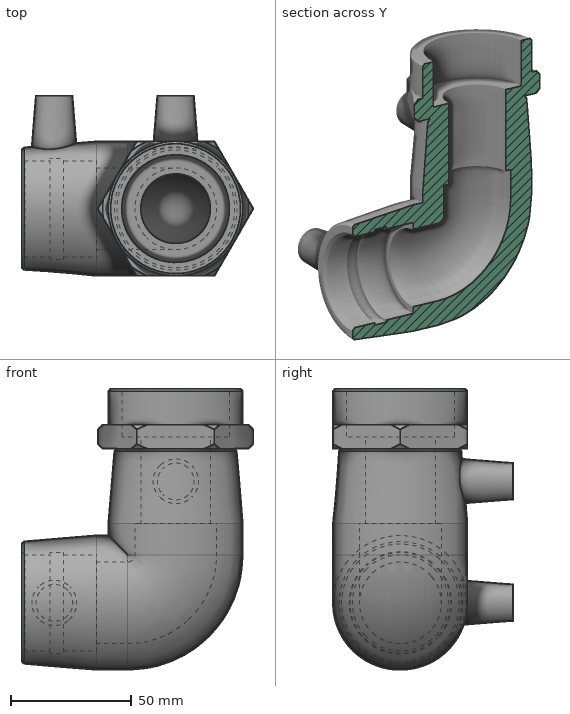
import cadquery as cq
import math

pipe_r = 28.0
bend_r = 20.0
bend_centre = (-bend_r, 0, bend_r)
taper_start = 33.0
arm_length = 64.0
arm_end_r = 25.5
edge_chamfer = 1.0
bore_r = 17.0

socket_r = 20.0
socket_mouth_r = 21.3
socket_mouth_depth = 1.3
groove_r = 21.0
groove_near = 52.3
groove_far = 46.7

hex_flats = 2 * pipe_r
hex_height = 10.0
hex_chamfer = 2.0
collar_height = 15.0
insert_top = arm_length + hex_height + collar_height
counterbore_r = 44.84 / 2
counterbore_depth = 20.0
insert_bore_r = 29.0 / 2

terminal_offset = 50.5
terminal_tip_y = 47.0
terminal_root_y = 22.0
terminal_tip_r = 7.65
terminal_root_r = 9.65


def revolved_on_z(profile):
    """Solid of revolution about Z from (radius, height) points."""
    return cq.Workplane("XZ").polyline(profile).close().revolve(360, (0, 0), (0, 1))


def laid_along_minus_x(solid):
    """Turn a solid built up the Z axis so that it points along -X."""
    return solid.rotate((0, 0, 0), (0, 1, 0), -90)


def cylinder_on_z(radius, bottom, top):
    return cq.Workplane("XY").workplane(offset=bottom).circle(radius).extrude(top - bottom)


def make_arm():
    """Straight stretch, taper and chamfered end, standing on the Z axis."""
    return revolved_on_z([
        (0, bend_r),
        (pipe_r, bend_r),
        (pipe_r, taper_start),
        (arm_end_r, arm_length - edge_chamfer),
        (arm_end_r - edge_chamfer, arm_length),
        (0, arm_length),
    ])


def turned_a_quarter(section):
    """Sweep a section a quarter turn about the bend centre, joining the two arms."""
    return section.revolve(90, (0, 0), (0, 1))


def make_outer_bend():
    """Outer elbow; its round section is wider than the bend and stops at the turning axis."""
    half_chord = math.sqrt(pipe_r**2 - bend_r**2)
    section = (
        cq.Workplane("XY", origin=bend_centre)
        .moveTo(0, -half_chord)
        .threePointArc((bend_r + pipe_r, 0), (0, half_chord))
        .close()
    )
    return turned_a_quarter(section)


def make_bend_bore():
    section = cq.Workplane("XY", origin=bend_centre).moveTo(bend_r, 0).circle(bore_r)
    return turned_a_quarter(section)


def make_insert():
    """Hexagon with corners on the X axis and both rims chamfered, carrying a round collar."""
    hex_top = arm_length + hex_height
    hexagon = (
        cq.Workplane("XY")
        .workplane(offset=arm_length)
        .polygon(6, hex_flats, circumscribed=True)
        .extrude(hex_height)
        .rotate((0, 0, 0), (0, 0, 1), 30)
    )
    corner_r = hex_flats / math.sqrt(3)
    rim_r = corner_r - hex_chamfer
    chamfer_envelope = revolved_on_z([
        (0, arm_length),
        (rim_r, arm_length),
        (corner_r, arm_length + hex_chamfer),
        (corner_r, hex_top - hex_chamfer),
        (rim_r, hex_top),
        (0, hex_top),
    ])
    collar = cylinder_on_z(pipe_r, hex_top, insert_top).faces(">Z").chamfer(edge_chamfer)
    return hexagon.intersect(chamfer_envelope).union(collar)


def make_terminal():
    """Cone tapering toward +Y, centred on the Y axis."""
    return (
        cq.Workplane("XY")
        .moveTo(0, terminal_root_y)
        .lineTo(terminal_root_r, terminal_root_y)
        .lineTo(terminal_tip_r, terminal_tip_y)
        .lineTo(0, terminal_tip_y)
        .close()
        .revolve(360, (0, 0), (0, 1))
    )


def make_socket_bore():
    """Socket with lead-in and inner groove, ending in the plain bore."""
    return laid_along_minus_x(revolved_on_z([
        (0, bend_r),
        (bore_r, bend_r),
        (bore_r, taper_start),
        (socket_r, taper_start),
        (socket_r, groove_far),
        (groove_r, groove_far),
        (groove_r, groove_near),
        (socket_r, groove_near),
        (socket_r, arm_length - socket_mouth_depth),
        (socket_mouth_r, arm_length),
        (0, arm_length),
    ]))


def make_insert_bore():
    """Counterbore, narrow insert bore and plain bore, from the top down."""
    return revolved_on_z([
        (0, bend_r),
        (bore_r, bend_r),
        (bore_r, taper_start),
        (insert_bore_r, taper_start),
        (insert_bore_r, insert_top - counterbore_depth),
        (counterbore_r, insert_top - counterbore_depth),
        (counterbore_r, insert_top),
        (0, insert_top),
    ])


upright_arm = make_arm().rotate((0, 0, 0), (0, 0, 1), 180)
body = upright_arm.union(laid_along_minus_x(make_arm()))
body = body.union(make_outer_bend()).union(make_insert())
for along_x, along_z in [(-terminal_offset, 0), (0, terminal_offset)]:
    body = body.union(make_terminal().translate((along_x, 0, along_z)))

result = body.cut(make_socket_bore()).cut(make_insert_bore()).cut(make_bend_bore())